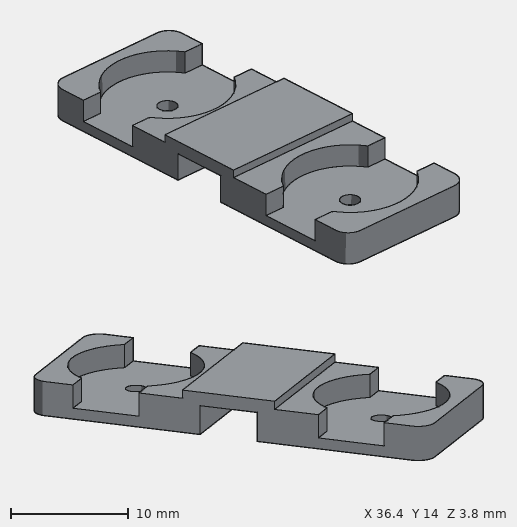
import cadquery as cq

length = 36.4
width = 14.0
total_height = 3.8
plate_height = 3.05
corner_radius = 1.5

pad_length = 8.4
slot_length = 5.2
slot_height = 2.6

seat_spacing = 22.4
seat_diameter = 11.6
channel_length = 6.0
floor_thickness = 1.0
hole_diameter = 1.8


def box_on_level(size_x, height, bottom):
    """Full-width box centred on the origin in plan, starting at the given level."""
    return cq.Workplane("XY").workplane(offset=bottom).rect(size_x, width).extrude(height)


def seat_cutter(center_x):
    """Round pocket, cross channel and through hole of one seat."""
    pocket_depth = plate_height - floor_thickness
    pocket = (
        cq.Workplane("XY")
        .workplane(offset=floor_thickness)
        .circle(seat_diameter / 2)
        .extrude(pocket_depth)
    )
    channel = box_on_level(channel_length, pocket_depth, floor_thickness)
    hole = cq.Workplane("XY").circle(hole_diameter / 2).extrude(plate_height)
    return pocket.union(channel).union(hole).translate((center_x, 0, 0))


plate = box_on_level(length, plate_height, 0).edges("|Z").fillet(corner_radius)
pad = box_on_level(pad_length, total_height - plate_height, plate_height)
slot = box_on_level(slot_length, slot_height, 0)

result = plate.union(pad).cut(slot)
for side in (-1, 1):
    result = result.cut(seat_cutter(side * seat_spacing / 2))